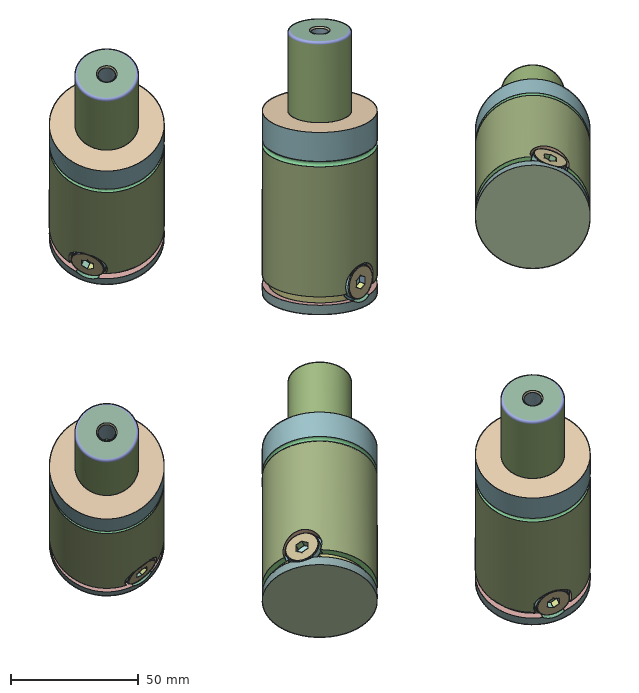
import cadquery as cq
import math

body_diameter = 45.0
body_radius = body_diameter / 2
flange_top = 4.0
base_groove_top = 7.5
base_groove_diameter = 40.0
body_top = 77.0

ring_groove_height = 63.6
ring_groove_radius = 1.1

total_height = 111.0
rod_diameter = 25.0
rod_edge_radius = 1.0
hole_diameter = 6.8
hole_mouth_diameter = 8.0
hole_depth = 15.0
drill_point_angle = 118

plug_height = 10.5
plug_diameter = 14.0
plug_chamfer = 0.3
plug_face_y = -21.8
plug_back_y = -17.8
pocket_diameter = 16.0
pocket_floor_y = -18.9
hex_across_flats = 5.0
hex_depth = 3.0


def upright_cylinder(diameter, bottom, top):
    return cq.Workplane("XY").workplane(offset=bottom).circle(diameter / 2).extrude(top - bottom)


def side_plane(y):
    """Plane centred on the plug axis, with its normal pointing out along -Y."""
    return cq.Workplane("XZ", origin=(0, y, plug_height))


def make_body():
    body = upright_cylinder(body_diameter, 0, body_top)
    base_groove = upright_cylinder(body_diameter, flange_top, base_groove_top).cut(
        upright_cylinder(base_groove_diameter, flange_top, base_groove_top)
    )
    ring_groove = cq.Workplane("XY").add(
        cq.Solid.makeTorus(body_radius, ring_groove_radius, cq.Vector(0, 0, ring_groove_height))
    )
    return body.cut(base_groove).cut(ring_groove)


def make_rod():
    rod = upright_cylinder(rod_diameter, body_top, total_height)
    return rod.faces(">Z").edges().fillet(rod_edge_radius)


def make_rod_hole():
    """Blind hole with a 45 degree countersink and a conical drill point."""
    radius = hole_diameter / 2
    mouth_radius = hole_mouth_diameter / 2
    point_depth = radius / math.tan(math.radians(drill_point_angle / 2))
    cone_base = total_height - hole_depth
    profile = (
        cq.Workplane("XZ")
        .moveTo(0, total_height)
        .lineTo(mouth_radius, total_height)
        .lineTo(radius, total_height - (mouth_radius - radius))
        .lineTo(radius, cone_base)
        .lineTo(0, cone_base - point_depth)
        .close()
    )
    return profile.revolve(360, (0, 0, 0), (0, 1, 0))


def make_pocket():
    return side_plane(pocket_floor_y).circle(pocket_diameter / 2).extrude(body_radius + pocket_floor_y)


def make_plug():
    """Plug head with a hex socket whose corners point up and down."""
    plug = side_plane(plug_back_y).circle(plug_diameter / 2).extrude(plug_back_y - plug_face_y)
    plug = plug.faces("<Y").edges().chamfer(plug_chamfer)
    across_corners = hex_across_flats / math.cos(math.radians(30))
    socket = (
        side_plane(plug_face_y)
        .transformed(rotate=(0, 0, 90))
        .polygon(6, across_corners)
        .extrude(-hex_depth)
    )
    return plug.cut(socket)


result = make_body().cut(make_pocket()).union(make_plug())
result = result.union(make_rod()).cut(make_rod_hole())